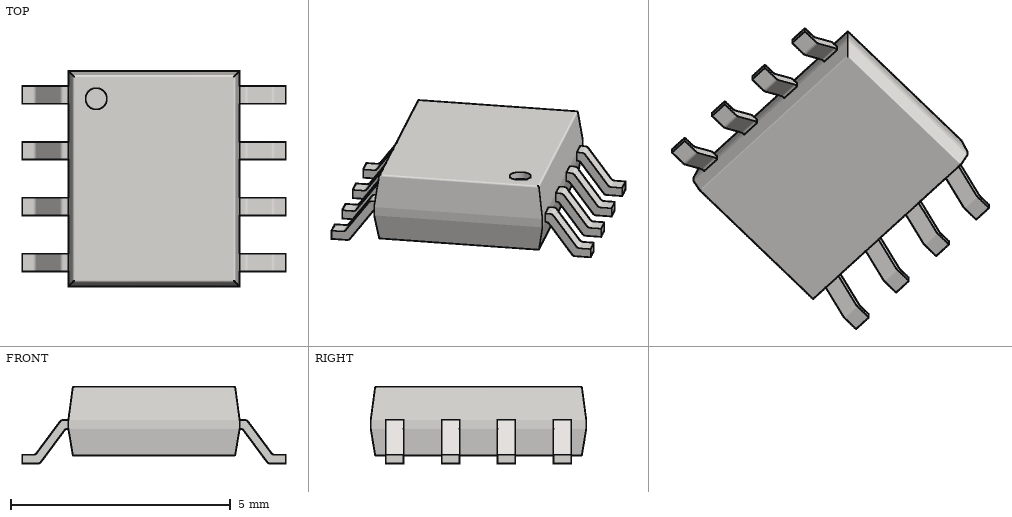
import cadquery as cq
import math

OVERALL_LENGTH_X = 6.0
OVERALL_HEIGHT = 1.75

BODY_LENGTH_X = 3.9
BODY_WIDTH_Y = 4.91
BODY_BOTTOM_Z = 0.185
TOP_DRAFT_INSET = 0.1
BOTTOM_DRAFT_INSET = 0.1
TOP_EDGE_RADIUS = 0.04
BOTTOM_EDGE_RADIUS = 0.025

MARK_DIAMETER = 0.485
MARK_DEPTH = 0.16
MARK_X = -1.315
MARK_Y = 1.82

LEADS_PER_SIDE = 4
LEAD_PITCH = 1.27
LEAD_WIDTH = 0.41
LEAD_THICKNESS = 0.205
LEAD_TOP_Z = 0.995
FOOT_LENGTH = 0.3
SHOULDER_LENGTH = 0.16
BEND_RADIUS = 0.095

BAND_TOP_Z = LEAD_TOP_Z
BAND_BOTTOM_Z = LEAD_TOP_Z - LEAD_THICKNESS


def drafted_half(band_z, end_z, inset):
    """Half of the body, narrowing from the band edge to its flat end face."""
    return (
        cq.Workplane("XY", origin=(0, 0, band_z))
        .rect(BODY_LENGTH_X, BODY_WIDTH_Y)
        .workplane(offset=end_z - band_z)
        .rect(BODY_LENGTH_X - 2 * inset, BODY_WIDTH_Y - 2 * inset)
        .loft(ruled=True)
    )


def make_body():
    """Moulded package: straight band, drafted halves, rounded rims and the pin-one mark."""
    band = (
        cq.Workplane("XY", origin=(0, 0, BAND_BOTTOM_Z))
        .rect(BODY_LENGTH_X, BODY_WIDTH_Y)
        .extrude(BAND_TOP_Z - BAND_BOTTOM_Z)
    )
    upper = drafted_half(BAND_TOP_Z, OVERALL_HEIGHT, TOP_DRAFT_INSET)
    lower = drafted_half(BAND_BOTTOM_Z, BODY_BOTTOM_Z, BOTTOM_DRAFT_INSET)
    body = band.union(upper).union(lower)
    body = body.faces(">Z").edges().fillet(TOP_EDGE_RADIUS)
    body = body.faces("<Z").edges().fillet(BOTTOM_EDGE_RADIUS)
    mark = (
        cq.Workplane("XY", origin=(MARK_X, MARK_Y, OVERALL_HEIGHT - MARK_DEPTH))
        .circle(MARK_DIAMETER / 2)
        .extrude(MARK_DEPTH)
    )
    return body.cut(mark)


def make_lead(side, y_center):
    """One bent lead; side is -1 for the -X row and +1 for the +X row."""
    tip_x = OVERALL_LENGTH_X / 2
    wall_x = BODY_LENGTH_X / 2
    foot_x = tip_x - FOOT_LENGTH
    shoulder_x = wall_x + SHOULDER_LENGTH
    slope_angle = math.atan2(LEAD_TOP_Z - LEAD_THICKNESS, foot_x - shoulder_x)
    corner_shift = LEAD_THICKNESS * math.tan(slope_angle / 2)
    outline = [
        (tip_x, 0),
        (tip_x, LEAD_THICKNESS),
        (foot_x, LEAD_THICKNESS),
        (shoulder_x, LEAD_TOP_Z),
        (wall_x, LEAD_TOP_Z),
        (wall_x, LEAD_TOP_Z - LEAD_THICKNESS),
        (shoulder_x - corner_shift, LEAD_TOP_Z - LEAD_THICKNESS),
        (foot_x - corner_shift, 0),
    ]
    profile = [(side * x, z) for x, z in outline]
    lead = (
        cq.Workplane("XZ", origin=(0, y_center + LEAD_WIDTH / 2, 0))
        .polyline(profile)
        .close()
        .extrude(LEAD_WIDTH)
    )
    margin = LEAD_THICKNESS / 10
    bend_zone = cq.selectors.BoxSelector(
        (side * (wall_x + margin), y_center - LEAD_WIDTH, -LEAD_THICKNESS),
        (side * (tip_x - margin), y_center + LEAD_WIDTH, OVERALL_HEIGHT),
    )
    return lead.edges("|Y").edges(bend_zone).fillet(BEND_RADIUS)


body = make_body()

leads = []
for side in (-1, 1):
    for index in range(LEADS_PER_SIDE):
        y_center = (index - (LEADS_PER_SIDE - 1) / 2) * LEAD_PITCH
        leads.append(make_lead(side, y_center).val())

result = cq.Compound.makeCompound([body.val(), *leads])